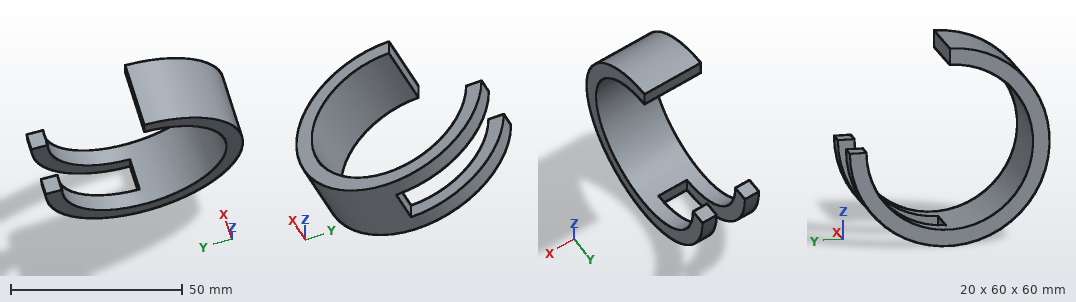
import cadquery as cq

outer_diameter = 60.0
outer_radius = outer_diameter / 2
wall = outer_radius / 6
width = 4 * wall
slot_width = 2 * wall
inner_radius = outer_radius - wall


def quadrant_block(length):
    """Block centred on X that fills the +Y, +Z quadrant of the ring."""
    return cq.Workplane("XY").box(length, outer_radius, outer_radius, centered=(True, False, False))


ring = (
    cq.Workplane("YZ", origin=(-width / 2, 0, 0))
    .circle(outer_radius)
    .circle(inner_radius)
    .extrude(width)
)

opening = quadrant_block(width)

slot = quadrant_block(slot_width).translate((0, 0, -outer_radius))

result = ring.cut(opening).cut(slot)